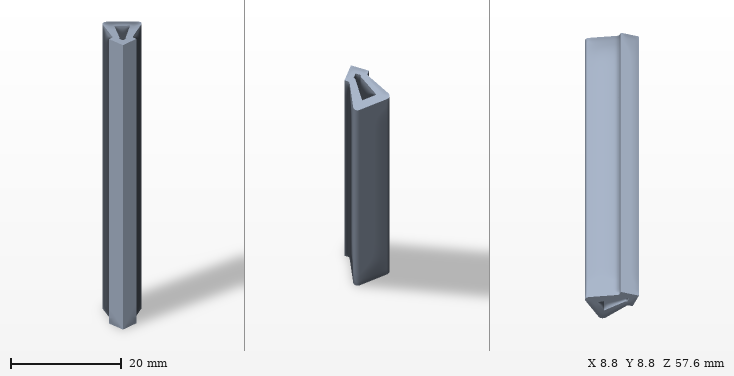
import cadquery as cq
import math

length = 57.65
outer_reach = 8.8
foot_width = 3.45
flank_slope = 0.5
flank_start = 0.95
tip_radius = 0.8
foot_radius = 0.5

foot_wall = 1.4
slot_length = 2.4
slot_step = 1.7
cavity_far = 6.45
cavity_near = 4.45

flank_offset = flank_slope * foot_width - flank_start
flank_length = math.hypot(1, flank_slope)
tip_center_far = outer_reach - tip_radius
tip_center_near = flank_slope * tip_center_far - flank_offset + tip_radius * flank_length
back_sum = tip_center_far + tip_center_near + tip_radius * math.sqrt(2)
sharp_far = (back_sum + flank_offset) / (1 + flank_slope)
sharp_near = back_sum - sharp_far


def mirrored_prism(corner, half_outline):
    """Extrude a profile whose second half mirrors the first about the diagonal.

    Points give distances toward -X and +Y from the square outer corner.
    """
    other_half = [(v, u) for u, v in reversed(half_outline)]
    points = [(-u, v) for u, v in [(corner, corner)] + half_outline + other_half]
    return cq.Workplane("XY").polyline(points).close().extrude(length)


def round_edges(body, u, v, radius):
    """Round the mirrored pair of lengthwise edges through (u, v)."""
    for x, y in ((-u, v), (-v, u)):
        edge = cq.selectors.NearestToPointSelector((x, y, length / 2))
        body = body.edges("|Z").edges(edge).fillet(radius)
    return body


outer = mirrored_prism(0, [(foot_width, 0), (foot_width, flank_start), (sharp_far, sharp_near)])
outer = round_edges(outer, sharp_far, sharp_near, tip_radius)
outer = round_edges(outer, foot_width, flank_start, foot_radius)

cavity = mirrored_prism(
    foot_wall,
    [(slot_length, foot_wall), (slot_length, slot_step), (cavity_far, cavity_near)],
)

result = outer.cut(cavity)